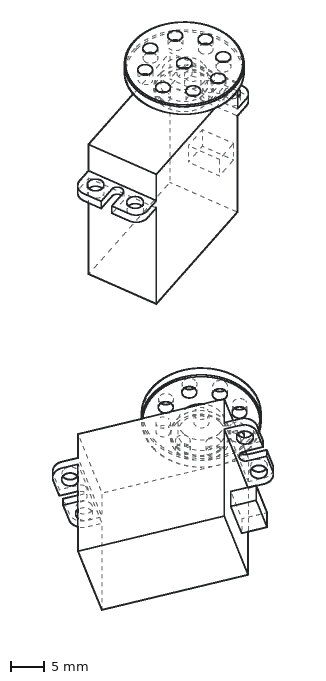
import cadquery as cq

case_width = 12.0
case_length = 23.0
case_height = 27.5

ear_span = 32.0
ear_thickness = 1.52
ear_bottom = 20.4
ear_corner_radius = 2.0
ear_hole_diameter = 2.5
ear_hole_spacing = 7.0
front_hole_inset = 2.5
back_hole_inset = 2.05
slot_width = 1.88
slot_depth = 4.0

cable_width = 5.5
cable_length = 4.0
cable_height = 3.5
cable_bottom = 6.0

total_height = 33.0
collar_y = 5.8
collar_diameter = 9.0
collar_height = 1.0
collar_chamfer = 0.13
neck_y = 5.97
neck_diameter = 7.0
horn_y = 6.0
horn_diameter = 18.0
horn_thickness = 2.0
horn_chamfer = 0.2
horn_center_hole_diameter = 2.3
horn_hole_diameter = 2.2
horn_hole_circle_radius = 6.0
horn_hole_count = 8

horn_bottom = total_height - horn_thickness
neck_height = horn_bottom - case_height


def make_case():
    return cq.Workplane("XY").box(case_width, case_length, case_height, centered=(True, True, False))


def make_ears():
    """Plate spanning both ears, with screw holes and open-ended slots."""
    ears = (
        cq.Workplane("XY", origin=(0, 0, ear_bottom))
        .rect(case_width, ear_span)
        .extrude(ear_thickness)
        .edges("|Z")
        .fillet(ear_corner_radius)
    )
    hole_x = ear_hole_spacing / 2
    front_hole_y = -ear_span / 2 + front_hole_inset
    back_hole_y = ear_span / 2 - back_hole_inset
    holes = (
        cq.Workplane("XY", origin=(0, 0, ear_bottom))
        .pushPoints([(x, y) for x in (-hole_x, hole_x) for y in (front_hole_y, back_hole_y)])
        .circle(ear_hole_diameter / 2)
        .extrude(ear_thickness)
    )
    slots = (
        cq.Workplane("XY", origin=(0, 0, ear_bottom))
        .pushPoints([(0, -ear_span / 2), (0, ear_span / 2)])
        .slot2D(2 * slot_depth, slot_width, 90)
        .extrude(ear_thickness)
    )
    return ears.cut(holes).cut(slots)


def make_cable_exit():
    return cq.Workplane("XY", origin=(0, case_length / 2, cable_bottom)).box(
        cable_width, cable_length, cable_height, centered=(True, False, False)
    )


def make_collar():
    return (
        cq.Workplane("XY", origin=(0, collar_y, case_height))
        .circle(collar_diameter / 2)
        .extrude(collar_height)
        .faces(">Z")
        .chamfer(collar_chamfer)
    )


def make_neck():
    return cq.Workplane("XY", origin=(0, neck_y, case_height)).circle(neck_diameter / 2).extrude(neck_height)


def make_horn():
    """Disc with chamfered rims, a centre hole and a ring of holes."""
    disc = (
        cq.Workplane("XY", origin=(0, horn_y, horn_bottom))
        .circle(horn_diameter / 2)
        .extrude(horn_thickness)
        .edges()
        .chamfer(horn_chamfer)
    )
    return (
        disc.faces(">Z")
        .workplane(origin=(0, horn_y, total_height))
        .hole(horn_center_hole_diameter, horn_thickness)
        .faces(">Z")
        .workplane(origin=(0, horn_y, total_height))
        .polarArray(horn_hole_circle_radius, 0, 360, horn_hole_count)
        .hole(horn_hole_diameter, horn_thickness)
    )


result = (
    make_case()
    .union(make_ears())
    .union(make_cable_exit())
    .union(make_collar())
    .union(make_neck())
    .union(make_horn())
)